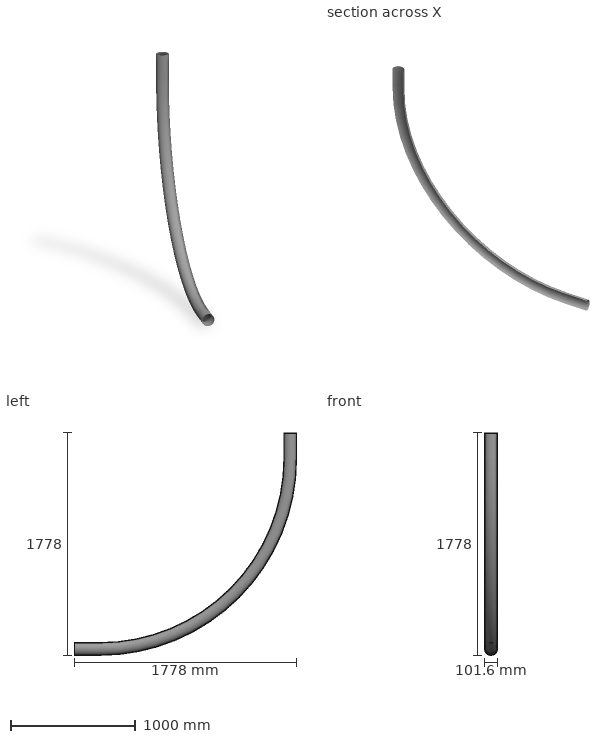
import cadquery as cq

OUTER_DIAMETER = 101.6
INNER_DIAMETER = 98.4
BEND_RADIUS = 1524.0
STRAIGHT_LENGTH = 203.2
BEND_ANGLE = 90.0


def tube_ring(plane):
    """Annular tube section centred on the origin of the given plane."""
    return (
        cq.Workplane(plane)
        .circle(OUTER_DIAMETER / 2)
        .circle(INNER_DIAMETER / 2)
    )


def vertical_end():
    """Straight end that rises from the start of the bend at the origin."""
    return tube_ring("XY").extrude(STRAIGHT_LENGTH)


def bend():
    """Quarter bend from the origin, down and round towards +Y."""
    axis_start = (0, BEND_RADIUS, 0)
    axis_end = (1, BEND_RADIUS, 0)
    return tube_ring("XY").revolve(BEND_ANGLE, axis_start, axis_end)


def horizontal_end():
    """Straight end that continues the bend along +Y."""
    bend_finish = cq.Plane(
        origin=(0, BEND_RADIUS, -BEND_RADIUS),
        xDir=(1, 0, 0),
        normal=(0, 1, 0),
    )
    return tube_ring(bend_finish).extrude(STRAIGHT_LENGTH)


result = vertical_end().union(bend()).union(horizontal_end())